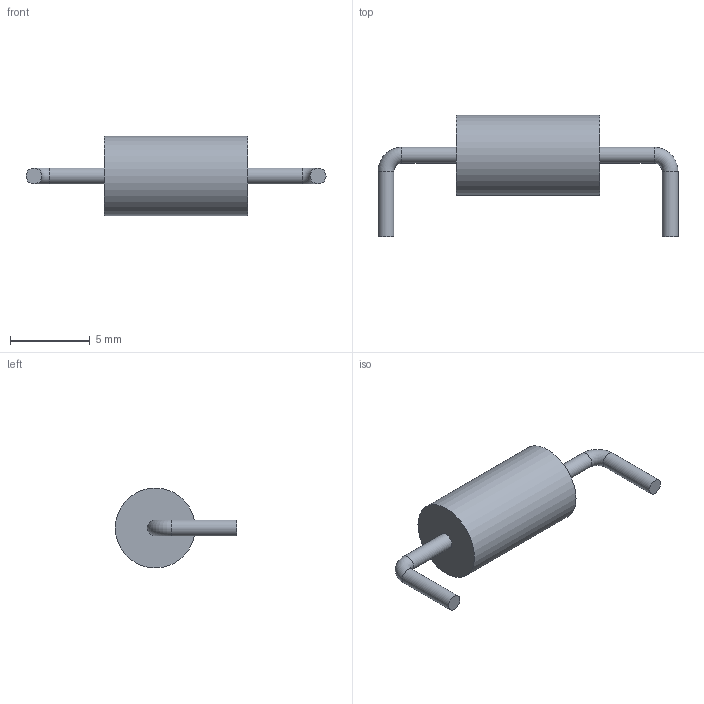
import cadquery as cq

body_diameter = 5.0
body_length = 9.0
wire_diameter = 1.0
lead_pitch = 17.78
lead_reach = 5.1
bend_radius = 1.0

lead_x = lead_pitch / 2
bend_start_x = lead_x - bend_radius


def make_body():
    return (
        cq.Workplane("YZ", origin=(-body_length / 2, 0, 0))
        .circle(body_diameter / 2)
        .extrude(body_length)
    )


def make_lead():
    """Lead on the +X side, running from the body centre out to its bent tip."""
    centreline = (
        cq.Workplane("XY")
        .lineTo(bend_start_x, 0)
        .tangentArcPoint((lead_x, -bend_radius), relative=False)
        .lineTo(lead_x, -lead_reach)
    )
    return cq.Workplane("YZ").circle(wire_diameter / 2).sweep(centreline)


right_lead = make_lead()
left_lead = right_lead.mirror("YZ")

result = make_body().union(right_lead).union(left_lead)